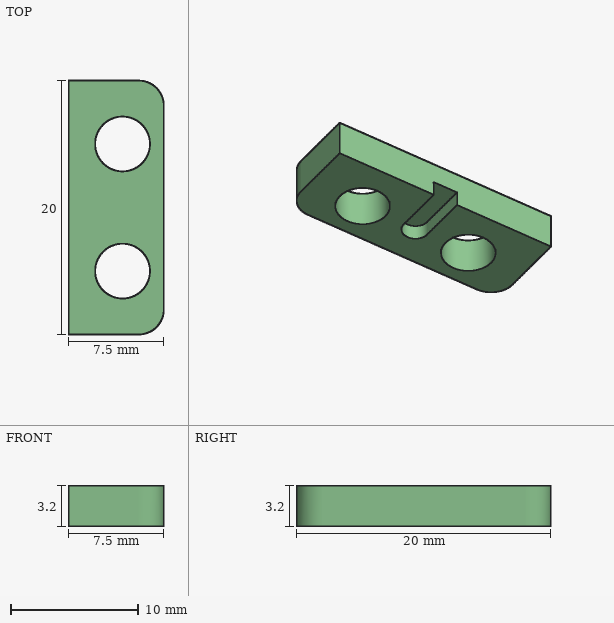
import cadquery as cq

length = 20.0
width = 7.5
thickness = 3.2
corner_radius = 2.0

hole_diameter = 4.3
hole_spacing = length / 2
hole_x = 4.25

notch_width = 2.2
notch_height = 1.32
notch_radius = notch_width / 2
notch_straight = hole_x


def make_plate():
    """Plate with its straight long side on X = 0 and the two far corners rounded."""
    plate = cq.Workplane("XY").box(width, length, thickness, centered=(False, True, False))
    return plate.edges("|Z and >X").fillet(corner_radius)


def make_holes():
    return (
        cq.Workplane("XY")
        .pushPoints([(hole_x, -hole_spacing / 2), (hole_x, hole_spacing / 2)])
        .circle(hole_diameter / 2)
        .extrude(thickness)
    )


def make_notch():
    return (
        cq.Workplane("XY")
        .moveTo(0, -notch_radius)
        .lineTo(notch_straight, -notch_radius)
        .threePointArc((notch_straight + notch_radius, 0), (notch_straight, notch_radius))
        .lineTo(0, notch_radius)
        .close()
        .extrude(notch_height)
    )


result = make_plate().cut(make_holes()).cut(make_notch())